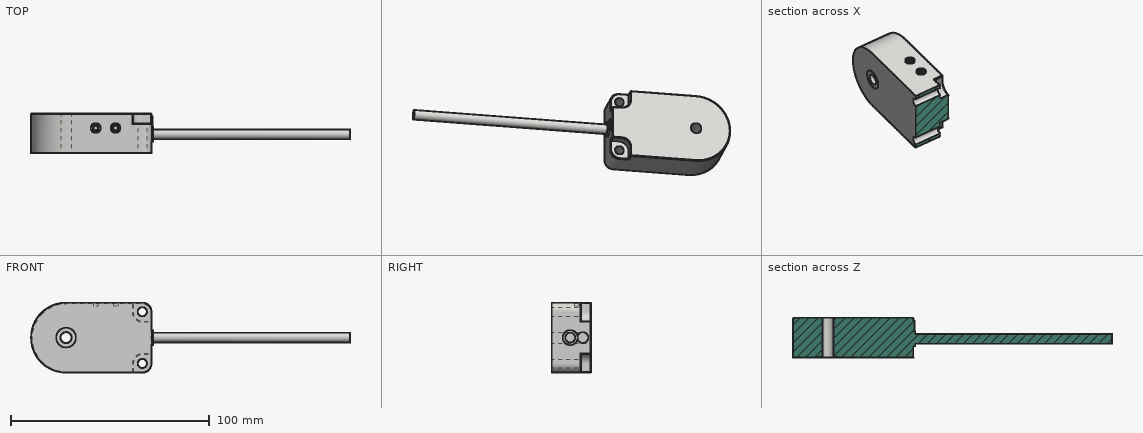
import cadquery as cq
import math

overall_length = 160.6
body_height = 35.3
body_depth = 20.0
round_end_radius = body_height / 2
body_length = 60.7
corner_radius = 4.7
edge_chamfer = 0.5

body_left = -round_end_radius
body_right = body_left + body_length
front_y = -body_depth / 2
rear_y = body_depth / 2

spindle_hole_diameter = 5.5
spindle_ring_diameter = 10.0
spindle_ring_depth = 0.2

mount_hole_diameter = 4.5
mount_hole_x = body_right - corner_radius
mount_hole_z = body_height / 2 - corner_radius
recess_radius = 4.7
recess_depth = 5.1

screw_positions = (15.0, 24.9)
screw_y = 2.5
screw_steps = ((5.0, 0.08), (3.2, 0.5), (2.2, 1.6))

cable_diameter = 5.0
cable_y = -0.6
cable_right = body_left + overall_length
collar_diameter = 7.5
collar_length = 1.0
lamp_diameter = 5.5
lamp_rear_distance = 4.3
lamp_y = rear_y - lamp_rear_distance
lamp_height = 0.5
embed_length = 0.5

TOLERANCE = 0.02


def cylinder_along_x(diameter, y, x_start, x_end):
    plane = cq.Plane(origin=(x_start, y, 0), xDir=(0, 1, 0), normal=(1, 0, 0))
    return cq.Workplane(plane).circle(diameter / 2).extrude(x_end - x_start)


def cylinder_along_y(diameter, x, z, y_start, y_end):
    plane = cq.Plane(origin=(x, y_start, z), xDir=(1, 0, 0), normal=(0, 1, 0))
    return cq.Workplane(plane).circle(diameter / 2).extrude(y_end - y_start)


def sunk_cylinder(diameter, x, depth):
    """Cylinder reaching down from the top face at an adjusting screw."""
    plane = cq.Workplane("XY", origin=(x, screw_y, body_height / 2))
    return plane.circle(diameter / 2).extrude(-depth)


def housing():
    plane = cq.Plane(origin=(0, front_y, 0), xDir=(1, 0, 0), normal=(0, 1, 0))
    half = body_height / 2
    slab = (
        cq.Workplane(plane)
        .moveTo(0, half)
        .lineTo(body_right, half)
        .lineTo(body_right, -half)
        .lineTo(0, -half)
        .threePointArc((body_left, 0), (0, half))
        .close()
        .extrude(body_depth)
    )
    return slab.edges("|Y and >X").fillet(corner_radius)


def corner_recess(side):
    """Square-cornered recess over a mounting hole, rounded only towards the housing middle."""
    block_side = 3 * recess_radius
    block = (
        cq.Workplane("XY")
        .box(block_side, recess_depth, block_side, centered=False)
        .edges("|Y and <X and <Z")
        .fillet(recess_radius)
        .translate((mount_hole_x - recess_radius, rear_y - recess_depth, mount_hole_z - recess_radius))
    )
    return block if side > 0 else block.mirror("XY")


def is_exposed_edge(edge):
    """True for the rear outline and for the recess edges that lie on the outside of the housing."""
    middle = edge.positionAt(0.5)
    x = middle.x
    z = abs(middle.z)
    if middle.y > rear_y - TOLERANCE:
        return True
    on_recess = middle.y > rear_y - recess_depth - TOLERANCE and x > mount_hole_x - recess_radius - TOLERANCE
    on_top_or_end = z > body_height / 2 - TOLERANCE or x > body_right - TOLERANCE
    corner_distance = math.hypot(x - mount_hole_x, z - mount_hole_z)
    on_corner = x > mount_hole_x and z > mount_hole_z and corner_distance > corner_radius - TOLERANCE
    return on_recess and (on_top_or_end or on_corner)


def chamfer_exposed_edges(solid):
    exposed = [edge for edge in solid.edges().vals() if is_exposed_edge(edge)]
    return solid.newObject(exposed).chamfer(edge_chamfer)


result = housing()
for side in (1, -1):
    result = result.cut(corner_recess(side))
result = chamfer_exposed_edges(result)

for side in (1, -1):
    hole_z = side * mount_hole_z
    result = result.cut(cylinder_along_y(mount_hole_diameter, mount_hole_x, hole_z, front_y, rear_y))

result = result.cut(cylinder_along_y(spindle_hole_diameter, 0, 0, front_y, rear_y))
result = result.cut(cylinder_along_y(spindle_ring_diameter, 0, 0, front_y, front_y + spindle_ring_depth))

for screw_x in screw_positions:
    for step_diameter, step_depth in screw_steps:
        result = result.cut(sunk_cylinder(step_diameter, screw_x, step_depth))

embed_start = body_right - embed_length
for diameter, y, x_end in (
    (lamp_diameter, lamp_y, body_right + lamp_height),
    (collar_diameter, cable_y, body_right + collar_length),
    (cable_diameter, cable_y, cable_right),
):
    result = result.union(cylinder_along_x(diameter, y, embed_start, x_end))